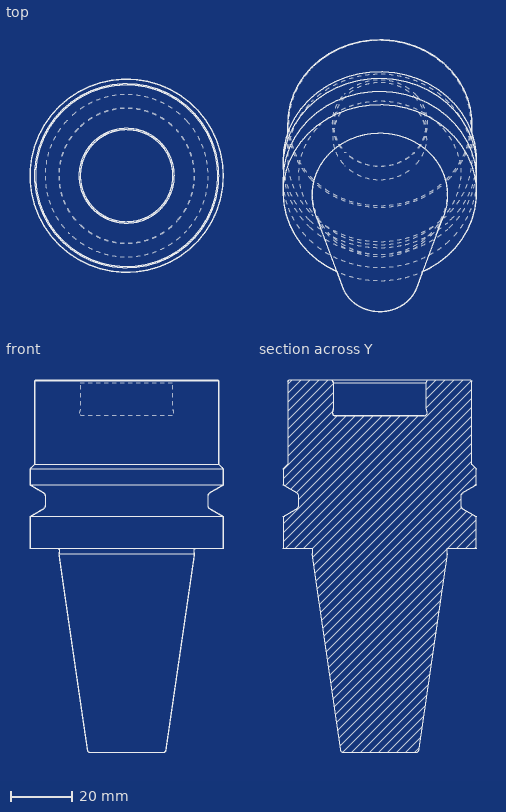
import cadquery as cq
import math

SHANK_LENGTH = 65.4
HEAD_HEIGHT = 56.0
FLANGE_BOTTOM = 1.0
FLANGE_TOP = 27.0
GROOVE_CENTRE = 16.6

GAUGE_RADIUS = 44.45 / 2
TAPER_SLOPE = 7 / 24 / 2
TIP_FILLET = 1.0

NECK_FILLET = 0.3
NECK_BLEND_HEIGHT = 0.37
NECK_CONE_HEIGHT = 0.37
NECK_CONE_ANGLE = math.radians(15)

FLANGE_RADIUS = 63 / 2
GROOVE_RADIUS = 53 / 2
GROOVE_FLOOR_WIDTH = 4.5
GROOVE_FLANK_ANGLE = math.radians(30)
GROOVE_FILLET = 1.2

HEAD_RADIUS = 60 / 2
HEAD_CHAMFER = 0.4

BORE_RADIUS = 30 / 2
BORE_DEPTH = 11.7
BORE_CHAMFER_WIDTH = 0.5
BORE_CHAMFER_HEIGHT = 1.0
RELIEF_HEIGHT = 2.4
RELIEF_DEPTH = 0.3
RELIEF_ANGLE = math.radians(15)
RELIEF_FILLET = 0.8


def revolve_about_z(profile):
    """Close a half section drawn in the XZ plane and spin it around Z."""
    return profile.close().revolve(360, (0, 0, 0), (0, 1, 0))


def taper_radius(z):
    """Radius of the taper cone at height z."""
    return GAUGE_RADIUS + TAPER_SLOPE * z


def make_shank():
    """Taper with a rounded small end and a relieved neck up to the flange.

    A short cone leads from the taper into the neck, blended by a tangent arc.
    """
    cone_bottom = -NECK_BLEND_HEIGHT - NECK_CONE_HEIGHT
    cone_top = -NECK_BLEND_HEIGHT
    cone_top_radius = taper_radius(cone_bottom) - NECK_CONE_HEIGHT * math.tan(NECK_CONE_ANGLE)
    blend_radius = NECK_BLEND_HEIGHT / math.sin(NECK_CONE_ANGLE)
    neck_radius = cone_top_radius - blend_radius * (1 - math.cos(NECK_CONE_ANGLE))
    profile = (
        cq.Workplane("XZ")
        .moveTo(0, -SHANK_LENGTH)
        .lineTo(taper_radius(-SHANK_LENGTH), -SHANK_LENGTH)
        .lineTo(taper_radius(cone_bottom), cone_bottom)
        .lineTo(cone_top_radius, cone_top)
        .radiusArc((neck_radius, 0), blend_radius)
        .lineTo(neck_radius, FLANGE_BOTTOM - NECK_FILLET)
        .radiusArc((neck_radius + NECK_FILLET, FLANGE_BOTTOM), NECK_FILLET)
        .lineTo(0, FLANGE_BOTTOM)
    )
    return revolve_about_z(profile).faces("<Z").edges().fillet(TIP_FILLET)


def make_head():
    """Flange and head cylinder, joined by a 45 degree shoulder."""
    shoulder_step = FLANGE_RADIUS - HEAD_RADIUS
    profile = (
        cq.Workplane("XZ")
        .moveTo(0, FLANGE_BOTTOM)
        .lineTo(FLANGE_RADIUS, FLANGE_BOTTOM)
        .lineTo(FLANGE_RADIUS, FLANGE_TOP)
        .lineTo(HEAD_RADIUS, FLANGE_TOP + shoulder_step)
        .lineTo(HEAD_RADIUS, HEAD_HEIGHT - HEAD_CHAMFER)
        .lineTo(HEAD_RADIUS - HEAD_CHAMFER, HEAD_HEIGHT)
        .lineTo(0, HEAD_HEIGHT)
    )
    return revolve_about_z(profile)


def make_groove_cutter():
    """Ring that cuts the V groove, with rounded corners at the groove floor."""
    half_floor = GROOVE_FLOOR_WIDTH / 2
    half_mouth = half_floor + (FLANGE_RADIUS - GROOVE_RADIUS) * math.tan(GROOVE_FLANK_ANGLE)
    profile = (
        cq.Workplane("XZ")
        .moveTo(FLANGE_RADIUS, GROOVE_CENTRE - half_mouth)
        .lineTo(GROOVE_RADIUS, GROOVE_CENTRE - half_floor)
        .lineTo(GROOVE_RADIUS, GROOVE_CENTRE + half_floor)
        .lineTo(FLANGE_RADIUS, GROOVE_CENTRE + half_mouth)
    )
    floor_corners = cq.selectors.RadiusNthSelector(0)
    return revolve_about_z(profile).edges(floor_corners).fillet(GROOVE_FILLET)


def make_bore_cutter():
    """Blind bore with a chamfered mouth and a relief running into its floor."""
    floor = HEAD_HEIGHT - BORE_DEPTH
    relief_top = floor + RELIEF_HEIGHT
    relief_radius = BORE_RADIUS + RELIEF_DEPTH
    cone_bottom = relief_top - RELIEF_DEPTH / math.tan(RELIEF_ANGLE)
    profile = (
        cq.Workplane("XZ")
        .moveTo(0, floor)
        .lineTo(relief_radius - RELIEF_FILLET, floor)
        .radiusArc((relief_radius, floor + RELIEF_FILLET), -RELIEF_FILLET)
        .lineTo(relief_radius, cone_bottom)
        .lineTo(BORE_RADIUS, relief_top)
        .lineTo(BORE_RADIUS, HEAD_HEIGHT - BORE_CHAMFER_HEIGHT)
        .lineTo(BORE_RADIUS + BORE_CHAMFER_WIDTH, HEAD_HEIGHT)
        .lineTo(0, HEAD_HEIGHT)
    )
    return revolve_about_z(profile)


result = (
    make_shank()
    .union(make_head())
    .cut(make_groove_cutter())
    .cut(make_bore_cutter())
)